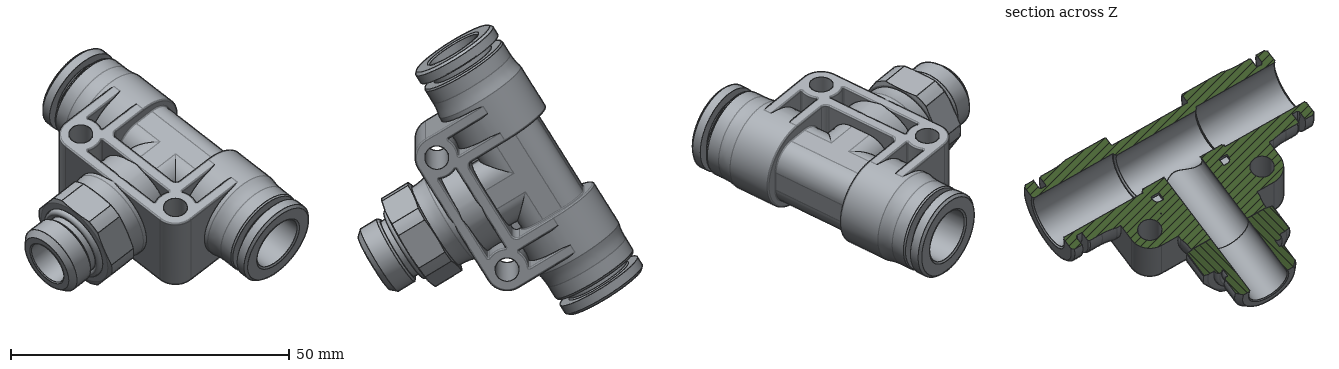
import cadquery as cq
import math

HALF_LENGTH = 26.1
COLLAR_RADIUS = 8.6
EDGE_RADIUS = 0.25
STUD_END = 32.7
STUD_START = 19.7
BRANCH_BORE_RADIUS = 4.1

COLLAR_INNER_X = 8.15
COLLAR_OUTER_X = 16.8
TAPER_LENGTH = 2.9
NOSE_RADIUS = 8.2
NOSE_END_X = 22.65
NOSE_CHAMFER_LENGTH = 0.35
NOSE_CHAMFER_DEPTH = 0.15
RING_NECK_RADIUS = 6.05
RING_NECK_CHAMFER = 0.25
RING_FLANGE_X = 23.9
RING_CHAMFER = 0.45

MOUTH_RADIUS = 5.45
TUBE_RADIUS = 5.05
MOUTH_DEPTH = 0.25
TUBE_STOP_X = 8.9
STOP_LEAD_RADIUS = 4.8
RUN_BORE_RADIUS = 4.45

CORE_HALF_WIDTH = 6.45
CORE_CORNER_RADIUS = 4.5
CORE_ROOT_RADIUS = 0.15

PLATE_HALF_WIDTH = 15.95
PLATE_FRONT_Y = -15.95
PLATE_CORNER_RADIUS = 3.9
HOLE_RADIUS = 2.15
HOLE_X = PLATE_HALF_WIDTH - PLATE_CORNER_RADIUS
HOLE_Y = PLATE_FRONT_Y + PLATE_CORNER_RADIUS
LEG_GAP_WIDTH = 3.7
POCKET_FLOOR_Y = -8.05
POCKET_CORNER_RADIUS = 1.0
WINDOW_BACK_Y = -10.2
WINDOW_FRONT_Y = -13.9
SMALL_CORNER_RADIUS = 0.15
WEB_THICKNESS = 1.55

HEX_ACROSS_FLATS = 2 * COLLAR_RADIUS
HEX_CORNER_RADIUS = 9.3
HEX_END_Y = 25.65
HEX_FACE_RADIUS = 8.45
HEX_CHAMFER_LENGTH = 0.2
SEAL_RING_RADIUS = 6.45
SEAL_CORD_RADIUS = 0.75
SEAL_Y = 25.85
STUD_NECK_RADIUS = 5.8
STUD_NECK_END_Y = 27.7
THREAD_RADIUS = 6.6
THREAD_START_CHAMFER = 0.4
THREAD_END_CHAMFER_LENGTH = 1.1
THREAD_END_RADIUS = 5.6
STUD_BORE_CHAMFER = 0.2


def turn(profile):
    """Revolve a closed (axial, radius) profile about the X axis."""
    return profile.close().revolve(360, (0, 0, 0), (1, 0, 0))


def to_branch(body):
    """Swing a body lying along +X so that it lies along -Y."""
    return body.rotate((0, 0, 0), (0, 0, 1), -90)


def collar(inner, outer):
    """Round collar along +X that narrows to the nose radius along an arc tangent to the nose."""
    drop = COLLAR_RADIUS - NOSE_RADIUS
    taper_radius = (TAPER_LENGTH**2 + drop**2) / (2 * drop)
    half_angle = math.asin(TAPER_LENGTH / taper_radius) / 2
    nose_x = outer + TAPER_LENGTH
    mid_x = nose_x - taper_radius * math.sin(half_angle)
    mid_radius = NOSE_RADIUS + taper_radius * (1 - math.cos(half_angle))
    return turn(
        cq.Workplane("XY").moveTo(inner, 0).lineTo(inner, COLLAR_RADIUS).lineTo(outer, COLLAR_RADIUS)
        .threePointArc((mid_x, mid_radius), (nose_x, NOSE_RADIUS))
        .lineTo(nose_x, 0)
    )


def run_arm():
    """Collar, nose, groove and release ring of the +X end."""
    nose = turn(
        cq.Workplane("XY").moveTo(COLLAR_OUTER_X, 0).lineTo(COLLAR_OUTER_X, NOSE_RADIUS)
        .lineTo(NOSE_END_X - NOSE_CHAMFER_LENGTH, NOSE_RADIUS)
        .lineTo(NOSE_END_X, NOSE_RADIUS - NOSE_CHAMFER_DEPTH)
        .lineTo(NOSE_END_X, RING_NECK_RADIUS)
        .lineTo(RING_FLANGE_X - RING_NECK_CHAMFER, RING_NECK_RADIUS)
        .lineTo(RING_FLANGE_X, RING_NECK_RADIUS + RING_NECK_CHAMFER)
        .lineTo(RING_FLANGE_X, NOSE_RADIUS)
        .lineTo(HALF_LENGTH - RING_CHAMFER, NOSE_RADIUS)
        .lineTo(HALF_LENGTH, NOSE_RADIUS - RING_CHAMFER)
        .lineTo(HALF_LENGTH, 0)
    )
    rounded_collar = collar(COLLAR_INNER_X, COLLAR_OUTER_X).edges("<X").fillet(EDGE_RADIUS)
    return rounded_collar.union(nose)


def run_bore():
    """Half of the run bore, from the centre to the +X mouth."""
    return turn(
        cq.Workplane("XY").moveTo(0, 0).lineTo(0, RUN_BORE_RADIUS)
        .lineTo(TUBE_STOP_X - (STOP_LEAD_RADIUS - RUN_BORE_RADIUS), RUN_BORE_RADIUS)
        .lineTo(TUBE_STOP_X, STOP_LEAD_RADIUS)
        .lineTo(TUBE_STOP_X, TUBE_RADIUS)
        .lineTo(HALF_LENGTH - MOUTH_DEPTH, TUBE_RADIUS)
        .lineTo(HALF_LENGTH, MOUTH_RADIUS)
        .lineTo(HALF_LENGTH, 0)
    )


def run_pipe():
    """Rounded square pipe along X with a fillet where it meets the face of each collar."""
    width = 2 * CORE_HALF_WIDTH
    pipe = cq.Workplane("YZ").rect(width, width).extrude(COLLAR_INNER_X, both=True)
    pipe = pipe.edges("|X").fillet(CORE_CORNER_RADIUS)
    for side in (-1, 1):
        flange = cq.Workplane("YZ").workplane(offset=side * COLLAR_INNER_X).circle(COLLAR_RADIUS - EDGE_RADIUS)
        pipe = pipe.union(flange.extrude(side * CORE_ROOT_RADIUS))
    shoulder_edges = pipe.faces("<X[1] or >X[1]").edges()
    joint_edges = shoulder_edges.filter(lambda edge: math.hypot(edge.Center().y, edge.Center().z) > 0.5)
    return joint_edges.fillet(CORE_ROOT_RADIUS)


def branch_pipe():
    """Rounded square pipe from the run axis into the front of the plate."""
    width = 2 * CORE_HALF_WIDTH
    pipe = cq.Workplane("XZ").rect(width, width).extrude(-WINDOW_BACK_Y)
    return pipe.edges("|Y").fillet(CORE_CORNER_RADIUS)


def prism(x_min, x_max, y_min, y_max):
    """Upright block through the full height of the part."""
    height = 2 * COLLAR_RADIUS
    return cq.Workplane("XY").box(x_max - x_min, y_max - y_min, height).translate(
        ((x_min + x_max) / 2, (y_min + y_max) / 2, 0)
    )


def hole_columns(radius):
    """Upright cylinders on both mounting hole axes."""
    return (
        cq.Workplane("XY").workplane(offset=-COLLAR_RADIUS)
        .pushPoints([(-HOLE_X, HOLE_Y), (HOLE_X, HOLE_Y)])
        .circle(radius).extrude(2 * COLLAR_RADIUS)
    )


def mounting_plate():
    """Frame with two legs per side, a window and two mounting holes."""
    back_y = COLLAR_RADIUS
    plate = prism(-PLATE_HALF_WIDTH, PLATE_HALF_WIDTH, PLATE_FRONT_Y, back_y)
    plate = plate.edges("|Z and <Y").fillet(PLATE_CORNER_RADIUS)

    bosses = hole_columns(PLATE_CORNER_RADIUS)
    pocket = prism(-COLLAR_INNER_X, COLLAR_INNER_X, POCKET_FLOOR_Y, 2 * back_y)
    pocket = pocket.edges("|Z and <Y").fillet(POCKET_CORNER_RADIUS)
    plate = plate.cut(pocket)

    window = prism(-HOLE_X, HOLE_X, WINDOW_FRONT_Y, WINDOW_BACK_Y).cut(bosses)
    plate = plate.cut(window.edges("|Z").fillet(SMALL_CORNER_RADIUS))

    for side in (-1, 1):
        gap_x = side * HOLE_X
        gap = prism(gap_x - LEG_GAP_WIDTH / 2, gap_x + LEG_GAP_WIDTH / 2, HOLE_Y, 2 * back_y).cut(bosses)
        plate = plate.cut(gap.edges("|Z and (not >Y)").fillet(SMALL_CORNER_RADIUS))

    plate = plate.faces("<Z or >Z").edges().fillet(EDGE_RADIUS)
    plate = plate.cut(prism(-HALF_LENGTH, HALF_LENGTH, 0, 2 * back_y))
    web = cq.Workplane("XY").box(2 * HOLE_X, -HOLE_Y, WEB_THICKNESS).translate((0, HOLE_Y / 2, 0))
    return plate.union(web)


def make_housing():
    """Plate, pipes, collars and release rings with all bores and mounting holes."""
    arm = run_arm()
    branch_collar = to_branch(collar(-(POCKET_FLOOR_Y + WINDOW_BACK_Y) / 2, STUD_START - TAPER_LENGTH))
    body = mounting_plate().union(run_pipe()).union(branch_pipe()).union(branch_collar)
    body = body.union(arm).union(arm.mirror("YZ"))
    body = body.cut(hole_columns(HOLE_RADIUS))
    bore = run_bore()
    body = body.cut(bore).cut(bore.mirror("YZ"))
    return body.cut(cq.Workplane("XZ").circle(BRANCH_BORE_RADIUS).extrude(STUD_START))


def hexagon():
    """Hexagon with rounded corners and both end faces chamfered, along +X."""
    length = HEX_END_Y - STUD_START
    corner_diameter = HEX_ACROSS_FLATS / math.cos(math.pi / 6)
    prism_body = (
        cq.Workplane("YZ").workplane(offset=STUD_START).polygon(6, corner_diameter).extrude(length)
    )
    envelope = turn(
        cq.Workplane("XY").moveTo(STUD_START, 0).lineTo(STUD_START, HEX_FACE_RADIUS)
        .lineTo(STUD_START + HEX_CHAMFER_LENGTH, HEX_CORNER_RADIUS)
        .lineTo(HEX_END_Y - HEX_CHAMFER_LENGTH, HEX_CORNER_RADIUS)
        .lineTo(HEX_END_Y, HEX_FACE_RADIUS)
        .lineTo(HEX_END_Y, 0)
    )
    return prism_body.intersect(envelope)


def make_stud():
    """Hexagon, seal ring, neck and threaded end with the branch bore."""
    thread_start = STUD_NECK_END_Y + THREAD_START_CHAMFER
    shank = turn(
        cq.Workplane("XY").moveTo(STUD_START, 0).lineTo(STUD_START, STUD_NECK_RADIUS)
        .lineTo(STUD_NECK_END_Y, STUD_NECK_RADIUS)
        .lineTo(STUD_NECK_END_Y, THREAD_RADIUS - THREAD_START_CHAMFER)
        .lineTo(thread_start, THREAD_RADIUS)
        .lineTo(STUD_END - THREAD_END_CHAMFER_LENGTH, THREAD_RADIUS)
        .lineTo(STUD_END, THREAD_END_RADIUS)
        .lineTo(STUD_END, 0)
    )
    seal = (
        cq.Workplane("XY").center(SEAL_Y, SEAL_RING_RADIUS).circle(SEAL_CORD_RADIUS)
        .revolve(360, (0, -SEAL_RING_RADIUS, 0), (1, -SEAL_RING_RADIUS, 0))
    )
    bore = turn(
        cq.Workplane("XY").moveTo(STUD_START, 0).lineTo(STUD_START, BRANCH_BORE_RADIUS)
        .lineTo(STUD_END - STUD_BORE_CHAMFER, BRANCH_BORE_RADIUS)
        .lineTo(STUD_END, BRANCH_BORE_RADIUS + STUD_BORE_CHAMFER)
        .lineTo(STUD_END, 0)
    )
    return to_branch(hexagon().union(shank).union(seal).cut(bore))


housing = make_housing()
stud = make_stud()
result = cq.Compound.makeCompound([housing.val(), stud.val()])